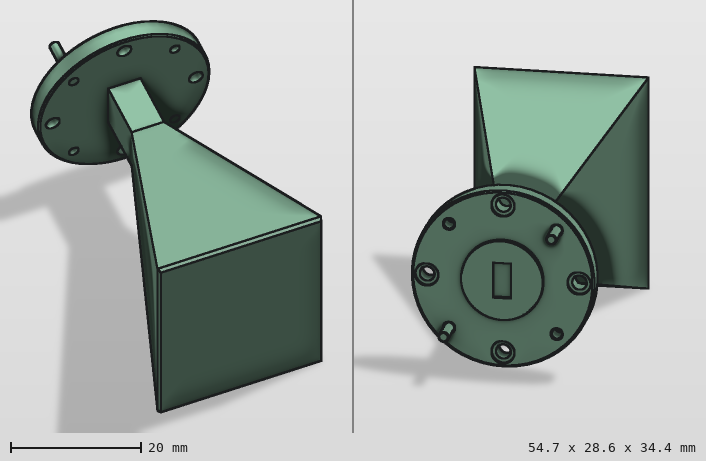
import cadquery as cq
import math

boss_front = 3.8
flange_front = 4.65
flange_back = 7.9
throat_end = 17.35
mouth_start = 53.95
mouth_end = 54.65

flange_diameter = 28.6
flange_chamfer = 0.3
boss_diameter = 12.8
port_width = 2.85
port_height = 2 * port_width
port_depth = 0.65

hole_circle_radius = 11.9
screw_hole_diameter = 2.3
counterbore_diameter = 3.6
counterbore_depth = 0.45
pin_diameter = 1.6
pin_tip_chamfer = 0.1
dowel_countersink = 0.15

guide_width = 5.4
guide_height = 8.15
mouth_width = 27.3
mouth_height = 34.35
mouth_bevel = 0.3

screw_angles = [0, 90, 180, 270]
pin_angles = [135, 315]
open_dowel_angles = [45, 225]


def section_plane(x):
    """Plane across the horn axis: local x is Y, local y is Z, normal is +X."""
    return cq.Workplane("YZ", origin=(x, 0, 0))


def disc(x_start, x_end, diameter):
    return section_plane(x_start).circle(diameter / 2).extrude(x_end - x_start)


def hole_center(angle):
    """Offset to the hole circle, with the angle measured from +Y toward +Z."""
    angle_rad = math.radians(angle)
    return (0, hole_circle_radius * math.cos(angle_rad), hole_circle_radius * math.sin(angle_rad))


def circle_cylinder(angle, x_start, x_end, diameter):
    """Cylinder along X, centred on the hole circle."""
    return disc(x_start, x_end, diameter).translate(hole_center(angle))


def taper(x_start, start_size, x_end, end_size):
    """Rectangular frustum between two sections given as (width, height)."""
    return (
        section_plane(x_start)
        .rect(*start_size)
        .workplane(offset=x_end - x_start)
        .rect(*end_size)
        .loft(ruled=True, combine=True)
    )


def dowel_hole_cutter(angle):
    """Revolved half profile of a through hole with a 45 degree countersink."""
    radius = pin_diameter / 2
    cutter = (
        cq.Workplane("XY")
        .moveTo(flange_front, 0)
        .lineTo(flange_front, radius + dowel_countersink)
        .lineTo(flange_front + dowel_countersink, radius)
        .lineTo(flange_back, radius)
        .lineTo(flange_back, 0)
        .close()
        .revolve(360, (0, 0, 0), (1, 0, 0))
    )
    return cutter.translate(hole_center(angle))


def make_flange():
    flange = disc(flange_front, flange_back, flange_diameter).edges().chamfer(flange_chamfer)
    flange = flange.union(disc(boss_front, flange_front, boss_diameter))
    flange = flange.cut(section_plane(boss_front).rect(port_width, port_height).extrude(port_depth))
    for angle in screw_angles:
        flange = flange.cut(circle_cylinder(angle, flange_front, flange_back, screw_hole_diameter))
        counterbore_floor = flange_front + counterbore_depth
        flange = flange.cut(circle_cylinder(angle, flange_front, counterbore_floor, counterbore_diameter))
    for angle in pin_angles + open_dowel_angles:
        flange = flange.cut(dowel_hole_cutter(angle))
    return flange


def make_horn():
    guide_size = (guide_width, guide_height)
    mouth_size = (mouth_width, mouth_height)
    rim_size = (mouth_width - 2 * mouth_bevel, mouth_height - 2 * mouth_bevel)
    guide = section_plane(flange_back).rect(*guide_size).extrude(throat_end - flange_back)
    flare = taper(throat_end, guide_size, mouth_start, mouth_size)
    rim = taper(mouth_start, mouth_size, mouth_end, rim_size)
    return guide.union(flare).union(rim)


def make_pin(angle):
    pin = circle_cylinder(angle, 0, flange_back, pin_diameter)
    return pin.faces("<X").edges().chamfer(pin_tip_chamfer)


antenna = make_flange().union(make_horn())
pins = [make_pin(angle) for angle in pin_angles]

result = cq.Compound.makeCompound([antenna.val(), *[pin.val() for pin in pins]])